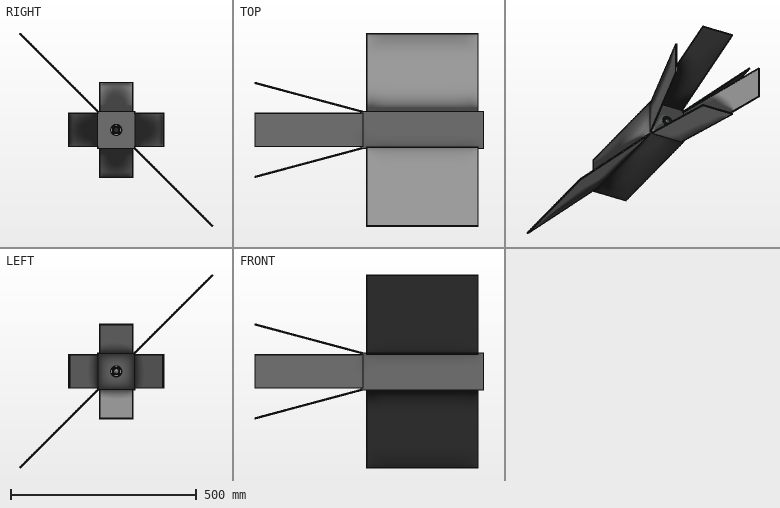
import cadquery as cq
import math

housing_length = 330.0
housing_width = 100.0
bore_diameter = 28.5

plate_thickness = 3.0
plate_length = 300.0
insertion_depth = 5.0
flap_count = 4
flap_width = 90.0
flap_splay_angle = 15.0
wing_chord = 300.0
wing_rear_setback = 15.0
wing_turns = (135, 315)

barrel_diameter = 15.0
barrel_front = 0.0
dome_radius = 12.0
frame_width = 20.0
frame_wall = 1.5
frame_front = 22.0
frame_depth = 20.0
rib_width = 4.0

half_width = housing_width / 2
corner_distance = half_width * math.sqrt(2)
barrel_radius = barrel_diameter / 2
dome_height = dome_radius - math.sqrt(dome_radius**2 - barrel_radius**2)
frame_rear = frame_front + frame_depth
frame_opening = frame_width - 2 * frame_wall


def make_flap(turn):
    """Plate sunk into the front edge of one housing side and splayed outward."""
    plate = cq.Workplane("XY").box(plate_length, flap_width, plate_thickness)
    plate = plate.translate((insertion_depth - plate_length / 2, 0, 0))
    plate = plate.rotate((0, 0, 0), (0, 1, 0), flap_splay_angle)
    plate = plate.translate((0, 0, half_width))
    return plate.rotate((0, 0, 0), (1, 0, 0), turn)


def make_wing(turn):
    """Plate sunk into one long housing edge and lying in the diagonal plane."""
    plate = cq.Workplane("XY").box(wing_chord, plate_length, plate_thickness)
    middle_x = housing_length - wing_rear_setback - wing_chord / 2
    middle_y = corner_distance - insertion_depth + plate_length / 2
    plate = plate.translate((middle_x, middle_y, 0))
    return plate.rotate((0, 0, 0), (1, 0, 0), turn)


def make_housing(plates):
    """Bored square bar with a matching slot for every plate."""
    bar = (
        cq.Workplane("YZ")
        .rect(housing_width, housing_width)
        .circle(bore_diameter / 2)
        .extrude(housing_length)
    )
    for plate in plates:
        bar = bar.cut(plate)
    return bar


def make_sensor():
    """Domed barrel, joined by four short ribs to the square frame around its rear end."""
    barrel = (
        cq.Workplane("XY")
        .moveTo(barrel_front - dome_height, 0)
        .radiusArc((barrel_front, barrel_radius), dome_radius)
        .lineTo(frame_rear, barrel_radius)
        .lineTo(frame_rear, 0)
        .close()
        .revolve(360, (0, 0, 0), (1, 0, 0))
    )
    frame_plane = cq.Workplane("YZ").workplane(offset=frame_front)
    frame_outline = frame_plane.rect(frame_width, frame_width).rect(frame_opening, frame_opening)
    frame = frame_outline.extrude(frame_depth)
    rib_span = frame_width - frame_wall
    ribs_across = frame_plane.rect(rib_span, rib_width).extrude(frame_depth)
    ribs_upright = frame_plane.rect(rib_width, rib_span).extrude(frame_depth)
    return barrel.union(ribs_across).union(ribs_upright).union(frame)


flaps = [make_flap(side * 360 / flap_count) for side in range(flap_count)]
wings = [make_wing(turn) for turn in wing_turns]
housing = make_housing(flaps + wings)
sensor = make_sensor()

result = cq.Compound.makeCompound(
    [
        housing.val(),
        sensor.val(),
        *[flap.val() for flap in flaps],
        *[wing.val() for wing in wings],
    ]
)